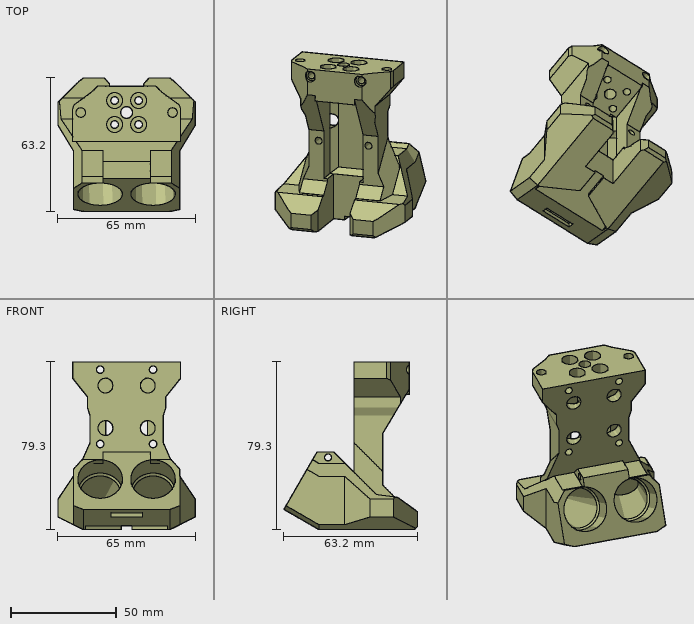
import cadquery as cq
import math


BACK_Y = 30.1
LENGTH = 63.25
NOSE_Y = BACK_Y - LENGTH
NOSE_Z = 9.6
FACE_ANGLE = 60.0
FACE_SLOPE = math.tan(math.radians(FACE_ANGLE))
BEVEL_Y = NOSE_Y + NOSE_Z * FACE_SLOPE
LUG_TOP_Z = 36.8
LUG_FRONT_Y = NOSE_Y + (LUG_TOP_Z - NOSE_Z) / FACE_SLOPE
ARM_FRONT_Y = 10.6
ARM_FRONT_Z = 16.7
LUG_BACK_Y = ARM_FRONT_Y - (LUG_TOP_Z - ARM_FRONT_Z)
RIDGE_Y = 20.7
RIDGE_Z = 15.3
TIP_Y = 28.6
TIP_BACK_Z = 8.6

FLOOR_HALF = 20.5
NOSE_HALF = 25.2
WIDTH = 65.0
ARM_HALF = WIDTH / 2
SHOULDER_HALF = 21.1
SHOULDER_Z = 31.4
SIDE_LOW_Z = 6.0
SIDE_HIGH_Z = 14.45
FLARE_START_Y = -4.4
FLARE_END_Y = 7.7
ARM_SIDE_END_Y = 18.65
TIP_HALF = 22.45
GAP_HALF = 8.0
GAP_FRONT_Y = 5.0
GAP_MOUTH_HALF = 10.55
GAP_MOUTH_Y = 27.3

LUG_HALF = 11.2
LUG_HOLE_DIA = 3.2
LUG_HOLE_Y = -12.2
LUG_HOLE_Z = 34.2
BORE_DIA = 21.0
BORE_SPACING = 25.0
BORE_X = BORE_SPACING / 2
BORE_Z = 24.0
BORE_DEPTH = 12.5
CONE_LENGTH = 1.1
DUCT_DIA = 19.1
DUCT_END_X = 18.25
DUCT_END_Y = 10.3
DUCT_END_Z = 7.9
DUCT_END_WIDTH = 14.3
DUCT_END_HEIGHT = 9.5
RELIEF_HEIGHT = 1.8
RELIEF_HALF = 19.45
RELIEF_END_HALF = 2.45
RELIEF_END_Y = -7.3
NOSE_SLOT_WIDTH = 15.0
NOSE_SLOT_FRONT_Z = 7.85
NOSE_SLOT_BACK_Z = 6.0
NOSE_SLOT_DEPTH = 3.2

HEIGHT = 79.35
HEAD_HALF = 25.55
HEAD_SIDE_Z = 71.6
NECK_HALF = 18.6
NECK_TOP_Z = 62.85
NECK_BOTTOM_Z = 57.7
WAIST_HALF = 17.4
WAIST_TOP_Z = 53.95
FLARE_TOP_Z = 41.2
FLARE_DROP = 14.7
FLARE_WIDENING = 6.4
HEAD_DEPTH = 26.3
HEAD_SIDE_END_Y = 15.5
HEAD_CORNER_HALF = 24.8
HEAD_CORNER_Y = 17.4
HEAD_SHOULDER_HALF = 16.6
HEAD_SHOULDER_Y = 23.4
HEAD_BACK_HALF = HEAD_SHOULDER_HALF - (HEAD_DEPTH - HEAD_SHOULDER_Y)
HEAD_BACK_Z = 66.65
WAIST_DEPTH = 13.7
WAIST_BACK_TOP_Z = 45.6
WAIST_BACK_LOW_Z = 21.0
FOOT_RUN = 5.4
FOOT_Z = 11.9
CHANNEL_HALF = 9.8
CHANNEL_CORNER_HALF = 6.6
CHANNEL_FRONT_Y = 2.3
CHANNEL_LOW_Z = 22.2
CHANNEL_TOP_Z = 63.95

SCREW_DIA = 3.4
SCREW_X = BORE_X
SCREW_LEVELS = (40.55, 75.7)
HEAD_POCKET_DIA = 5.2
HEAD_POCKET_DEPTH = 2.4
SOCKET_DIA = 7.0
SOCKET_SPACING = 20.1
SOCKET_X = SOCKET_SPACING / 2
SOCKET_LEVELS = (48.1, 68.2)
SOCKET_DEPTH = 5.0
CENTER_HOLE_DIA = 5.5
CENTER_Y = 13.7
BOLT_DIA = 3.5
BOLT_SPACING = 11.35
BOLT_OFFSET = BOLT_SPACING / 2
BOLT_HEAD_DIA = 7.5
BOLT_HEAD_DEPTH = 6.35
PIN_DIA = 4.5
PIN_SPACING = 43.4
PIN_X = PIN_SPACING / 2
PIN_DEPTH = 6.35


def mirrored(half):
    """Close an outline given by its +X half."""
    return half + [(-x, v) for x, v in reversed(half)]


def prism_x(points, half_width):
    """Extrude a (Y, Z) outline symmetrically about X = 0."""
    return cq.Workplane("YZ").polyline(points).close().extrude(half_width, both=True)


def prism_y(points, start, end):
    """Extrude an (X, Z) outline from Y = start to Y = end."""
    return cq.Workplane("XZ", origin=(0, start, 0)).polyline(points).close().extrude(start - end)


def prism_z(points, start, end):
    """Extrude an (X, Y) outline from Z = start to Z = end."""
    return cq.Workplane("XY", origin=(0, 0, start)).polyline(points).close().extrude(end - start)


def sheared_prism(points, start, run, rise):
    """Sweep an (X, Z) outline at Y = start along the slanted vector (0, run, rise)."""
    outline = cq.Wire.makePolygon([cq.Vector(x, start, z) for x, z in points], close=True)
    return cq.Workplane(cq.Solid.extrudeLinear(outline, [], cq.Vector(0, run, rise)))


def cylinder(diameter, length, start, direction):
    radius = diameter / 2
    return cq.Workplane(cq.Solid.makeCylinder(radius, length, cq.Vector(*start), cq.Vector(*direction)))


def make_base():
    tip_bevel = BACK_Y - TIP_Y
    side_profile = prism_x(
        [
            (BEVEL_Y, 0),
            (NOSE_Y, NOSE_Z),
            (LUG_FRONT_Y, LUG_TOP_Z),
            (LUG_BACK_Y, LUG_TOP_Z),
            (ARM_FRONT_Y, ARM_FRONT_Z),
            (RIDGE_Y, RIDGE_Z),
            (BACK_Y, TIP_BACK_Z),
            (BACK_Y, tip_bevel),
            (TIP_Y, 0),
        ],
        ARM_HALF,
    )
    plan = prism_z(
        mirrored(
            [
                (NOSE_HALF, NOSE_Y),
                (NOSE_HALF, FLARE_START_Y),
                (ARM_HALF, FLARE_END_Y),
                (ARM_HALF, ARM_SIDE_END_Y),
                (TIP_HALF, TIP_Y),
                (FLOOR_HALF, BACK_Y),
            ]
        ),
        0,
        LUG_TOP_Z,
    )
    section = mirrored(
        [
            (FLOOR_HALF, 0),
            (ARM_HALF, SIDE_LOW_Z),
            (ARM_HALF, SIDE_HIGH_Z),
            (SHOULDER_HALF, SHOULDER_Z),
        ]
    )
    level_part = prism_y(section, BEVEL_Y, BACK_Y)
    nose_run = NOSE_Y - BEVEL_Y
    nose_part = sheared_prism(section, BEVEL_Y, nose_run, -nose_run / FACE_SLOPE)
    lug = prism_x(
        [(BEVEL_Y, 0), (NOSE_Y, NOSE_Z), (LUG_FRONT_Y, LUG_TOP_Z), (0, LUG_TOP_Z), (0, 0)],
        LUG_HALF,
    )
    return level_part.union(nose_part).intersect(plan).union(lug).intersect(side_profile)


def make_tower():
    front_profile = prism_y(
        mirrored(
            [
                (WAIST_HALF, FOOT_Z),
                (WAIST_HALF, WAIST_TOP_Z),
                (NECK_HALF, NECK_BOTTOM_Z),
                (NECK_HALF, NECK_TOP_Z),
                (HEAD_HALF, HEAD_SIDE_Z),
                (HEAD_HALF, HEIGHT),
            ]
        ),
        0,
        HEAD_DEPTH,
    )
    plan = prism_z(
        mirrored(
            [
                (HEAD_HALF, 0),
                (HEAD_HALF, HEAD_SIDE_END_Y),
                (HEAD_CORNER_HALF, HEAD_CORNER_Y),
                (HEAD_SHOULDER_HALF, HEAD_SHOULDER_Y),
                (HEAD_BACK_HALF, HEAD_DEPTH),
            ]
        ),
        0,
        HEIGHT,
    )
    foot_back_y = WAIST_DEPTH + FOOT_RUN
    foot_back_z = WAIST_BACK_LOW_Z - FOOT_RUN
    side_profile = prism_x(
        [
            (0, FOOT_Z),
            (0, HEIGHT),
            (HEAD_DEPTH, HEIGHT),
            (HEAD_DEPTH, HEAD_BACK_Z),
            (WAIST_DEPTH, WAIST_BACK_TOP_Z),
            (WAIST_DEPTH, WAIST_BACK_LOW_Z),
            (foot_back_y, foot_back_z),
            (foot_back_y, FOOT_Z),
        ],
        HEAD_HALF,
    )
    flare = sheared_prism(
        mirrored(
            [
                (WAIST_HALF + FLARE_WIDENING, FLARE_TOP_Z - FLARE_DROP),
                (WAIST_HALF, FLARE_TOP_Z),
            ]
        ),
        0,
        foot_back_y,
        -foot_back_y,
    )
    tower = front_profile.intersect(plan).union(flare).intersect(side_profile)
    channel = prism_z(
        mirrored(
            [
                (CHANNEL_CORNER_HALF, CHANNEL_FRONT_Y),
                (CHANNEL_HALF, SOCKET_DEPTH),
                (CHANNEL_HALF, BACK_Y),
            ]
        ),
        CHANNEL_LOW_Z,
        CHANNEL_TOP_Z,
    )
    head_center = prism_z(
        mirrored([(CHANNEL_HALF, 0), (CHANNEL_HALF, HEAD_DEPTH)]), CHANNEL_TOP_Z, HEIGHT
    )
    return tower.cut(channel).union(head_center)


def cut_arm_gap(body):
    gap = prism_z(
        mirrored(
            [
                (GAP_HALF, GAP_FRONT_Y),
                (GAP_HALF, GAP_MOUTH_Y),
                (GAP_MOUTH_HALF, BACK_Y),
            ]
        ),
        0,
        CHANNEL_LOW_Z,
    )
    relief = prism_z(
        mirrored(
            [
                (RELIEF_HALF, NOSE_Y),
                (RELIEF_HALF, BEVEL_Y),
                (RELIEF_END_HALF, RELIEF_END_Y),
                (RELIEF_END_HALF, GAP_FRONT_Y),
            ]
        ),
        0,
        RELIEF_HEIGHT,
    )
    return body.cut(gap).cut(relief)


def cut_ducts(body):
    face_y = NOSE_Y + (BORE_Z - NOSE_Z) / FACE_SLOPE
    inward = cq.Vector(0, math.sin(math.radians(FACE_ANGLE)), -math.cos(math.radians(FACE_ANGLE)))
    for side in (-1, 1):
        mouth = cq.Vector(side * BORE_X, face_y, BORE_Z)
        cone_start = mouth + inward * BORE_DEPTH
        seat = cone_start + inward * CONE_LENGTH
        bore = cylinder(BORE_DIA, BORE_DEPTH, mouth.toTuple(), inward.toTuple())
        cone = cq.Workplane(
            cq.Solid.makeCone(BORE_DIA / 2, DUCT_DIA / 2, CONE_LENGTH, cone_start, inward)
        )
        seat_plane = cq.Plane(origin=seat, xDir=(1, 0, 0), normal=inward)
        duct_end = (side * DUCT_END_X, DUCT_END_Y, DUCT_END_Z)
        end_plane = cq.Plane(origin=duct_end, xDir=(1, 0, 0), normal=(0, 1, 0))
        start_wire = cq.Workplane(seat_plane).circle(DUCT_DIA / 2).wires().val()
        end_wire = cq.Workplane(end_plane).ellipse(DUCT_END_WIDTH / 2, DUCT_END_HEIGHT / 2).wires().val()
        duct = cq.Workplane(cq.Solid.makeLoft([start_wire, end_wire], True))
        body = body.cut(bore).cut(cone).cut(duct)
    return body


def cut_base_details(body):
    lug_hole = cylinder(LUG_HOLE_DIA, 2 * LUG_HALF, (-LUG_HALF, LUG_HOLE_Y, LUG_HOLE_Z), (1, 0, 0))
    slot_front_y = BEVEL_Y - NOSE_SLOT_FRONT_Z * FACE_SLOPE
    slot_back_y = BEVEL_Y - NOSE_SLOT_BACK_Z * FACE_SLOPE
    slot_top_z = NOSE_SLOT_FRONT_Z + NOSE_SLOT_DEPTH
    slot = prism_x(
        [(slot_front_y, 0), (slot_front_y, slot_top_z), (slot_back_y, slot_top_z), (slot_back_y, 0)],
        NOSE_SLOT_WIDTH / 2,
    )
    return body.cut(lug_hole).cut(slot)


def cut_front_holes(body):
    backward = (0, 1, 0)
    pocket_y = HEAD_DEPTH - HEAD_POCKET_DEPTH
    for side in (-1, 1):
        for level in SCREW_LEVELS:
            body = body.cut(cylinder(SCREW_DIA, HEAD_DEPTH, (side * SCREW_X, 0, level), backward))
        pocket_start = (side * SCREW_X, pocket_y, max(SCREW_LEVELS))
        body = body.cut(cylinder(HEAD_POCKET_DIA, HEAD_POCKET_DEPTH, pocket_start, backward))
        for level in SOCKET_LEVELS:
            socket_start = (side * SOCKET_X, 0, level)
            body = body.cut(cylinder(SOCKET_DIA, SOCKET_DEPTH, socket_start, backward))
        upper_level = max(SOCKET_LEVELS)
        corner = prism_z(
            [
                (side * CHANNEL_HALF, SOCKET_DEPTH),
                (side * CHANNEL_CORNER_HALF, CHANNEL_FRONT_Y),
                (side * CHANNEL_CORNER_HALF, SOCKET_DEPTH),
            ],
            CHANNEL_TOP_Z,
            upper_level + SOCKET_DIA / 2,
        )
        body = body.cut(corner)
    return body


def cut_top_holes(body):
    down = (0, 0, -1)
    head_height = HEIGHT - CHANNEL_TOP_Z
    body = body.cut(cylinder(CENTER_HOLE_DIA, head_height, (0, CENTER_Y, HEIGHT), down))
    for side in (-1, 1):
        body = body.cut(cylinder(PIN_DIA, PIN_DEPTH, (side * PIN_X, CENTER_Y, HEIGHT), down))
        for row in (-1, 1):
            start = (side * BOLT_OFFSET, CENTER_Y + row * BOLT_OFFSET, HEIGHT)
            body = body.cut(cylinder(BOLT_DIA, head_height, start, down))
            body = body.cut(cylinder(BOLT_HEAD_DIA, BOLT_HEAD_DEPTH, start, down))
    return body


body = make_base().union(make_tower())
body = cut_arm_gap(body)
body = cut_ducts(body)
body = cut_base_details(body)
body = cut_front_holes(body)
result = cut_top_holes(body)